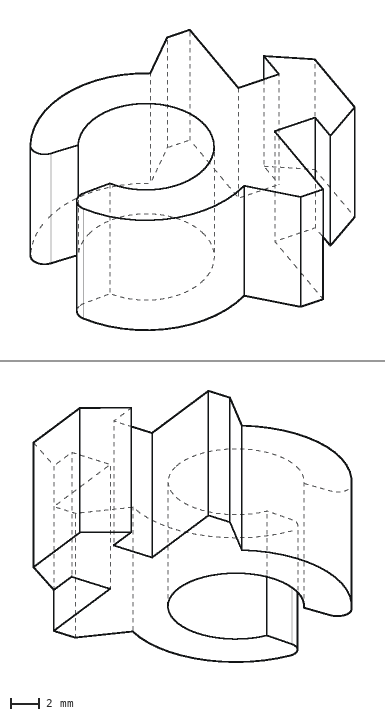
import cadquery as cq
import math

height = 10.0
bore_radius = 4.78
outer_radius = 8.15
mouth_half_angle = math.radians(30)
mouth_flare = math.radians(2.5)
tip_radius = 1.0

wing_span = 20.0
wing_half_width = wing_span / 2
wing_top = 8.78
wing_edge_height = 1.8
wing_root_angle = math.radians(30)

stem_half_width = 2.71
head_half_width = 5.0
head_top_half_width = 3.0
head_bottom = 12.0
head_top = 15.01


def mirrored_prism(right_side):
    """Extrude an outline given by its +X points and their mirror images."""
    left_side = [(-x, y) for x, y in reversed(right_side)]
    return cq.Workplane("XY").polyline(right_side + left_side).close().extrude(height)


def make_ring():
    return cq.Workplane("XY").circle(outer_radius).extrude(height)


def make_wings():
    root_x = outer_radius * math.cos(wing_root_angle)
    root_y = outer_radius * math.sin(wing_root_angle)
    return mirrored_prism([
        (root_x, root_y),
        (wing_half_width, wing_top - wing_edge_height),
        (wing_half_width, wing_top),
    ])


def make_snap_head():
    return mirrored_prism([
        (stem_half_width, wing_top),
        (stem_half_width, head_bottom),
        (head_half_width, head_bottom),
        (head_top_half_width, head_top),
    ])


def make_mouth():
    inner_x = bore_radius * math.sin(mouth_half_angle)
    inner_y = -bore_radius * math.cos(mouth_half_angle)
    mouth_end = -outer_radius
    end_x = inner_x + (inner_y - mouth_end) * math.tan(mouth_flare)
    return mirrored_prism([(end_x, mouth_end), (inner_x, inner_y)])


body = make_ring().union(make_wings()).union(make_snap_head())
bore = cq.Workplane("XY").circle(bore_radius).extrude(height)
clip = body.cut(bore).cut(make_mouth())

tip_zone = cq.selectors.BoxSelector(
    (-outer_radius, -outer_radius, 0),
    (outer_radius, -bore_radius, height),
)
result = clip.edges("|Z").edges(tip_zone).fillet(tip_radius)